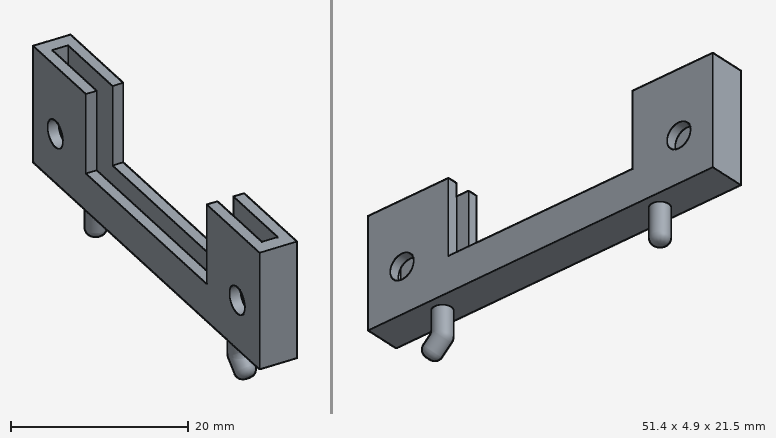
import cadquery as cq
import math

length = 51.4
thickness = 4.9
height = 15.45
notch_width = 27.4
notch_floor = 4.95
end_wall = 1.9
slot_width = 2.05
slot_floor = 1.8

hole_diameter = 3.5
hole_spacing = 41.25
hole_height = 6.5

pin_diameter = 2.55
pin_tip_radius = 1.0
straight_pin_x = -15.75
straight_pin_length = 5.0
bent_pin_x = 16.7
bend_depth = 3.45
bend_angle = 47.0
inner_bend_radius = 1.05
overall_height = 21.5


def make_body():
    """U-shaped plate with its lower face on Z = 0, slotted from above."""
    plate = cq.Workplane("XY").box(length, thickness, height, centered=(True, True, False))
    notch = (
        cq.Workplane("XY", origin=(0, 0, notch_floor))
        .box(notch_width, thickness, height, centered=(True, True, False))
    )
    slot = (
        cq.Workplane("XY", origin=(0, 0, slot_floor))
        .box(length - 2 * end_wall, slot_width, height, centered=(True, True, False))
    )
    holes = (
        cq.Workplane("XZ", origin=(0, 0, hole_height))
        .pushPoints([(-hole_spacing / 2, 0), (hole_spacing / 2, 0)])
        .circle(hole_diameter / 2)
        .extrude(thickness, both=True)
    )
    return plate.cut(notch).cut(slot).cut(holes)


def make_straight_pin():
    """Vertical pin with a rounded tip."""
    return (
        cq.Workplane("XY", origin=(straight_pin_x, 0, 0))
        .circle(pin_diameter / 2)
        .extrude(-straight_pin_length)
        .faces("<Z")
        .edges()
        .fillet(pin_tip_radius)
    )


def make_bent_pin():
    """Pin with a ball-shaped elbow whose lower leg leans toward +X."""
    lean = math.radians(bend_angle)
    flat_radius = pin_diameter / 2 - pin_tip_radius
    tip_depth = overall_height - height
    rim_drop = flat_radius * math.sin(lean) + pin_tip_radius
    leg_length = (tip_depth - bend_depth - rim_drop) / math.cos(lean) + pin_tip_radius
    elbow = (bent_pin_x, 0, -bend_depth)
    leg_direction = cq.Vector(math.sin(lean), 0, -math.cos(lean))
    upper_leg = cq.Workplane("XY", origin=(bent_pin_x, 0, 0)).circle(pin_diameter / 2).extrude(-bend_depth)
    lower_leg = (
        cq.Workplane(cq.Plane(origin=elbow, xDir=(0, 1, 0), normal=leg_direction))
        .circle(pin_diameter / 2)
        .extrude(leg_length)
        .faces(cq.DirectionMinMaxSelector(leg_direction))
        .edges()
        .fillet(pin_tip_radius)
    )
    ball = cq.Workplane("XY", origin=elbow).sphere(pin_diameter / 2)
    pin = upper_leg.union(ball).union(lower_leg)
    inner_corner = (bent_pin_x + pin_diameter / 2, 0, -bend_depth + pin_diameter / 2 * math.tan(lean / 2))
    return pin.edges(cq.NearestToPointSelector(inner_corner)).fillet(inner_bend_radius)


result = make_body().union(make_straight_pin()).union(make_bent_pin())